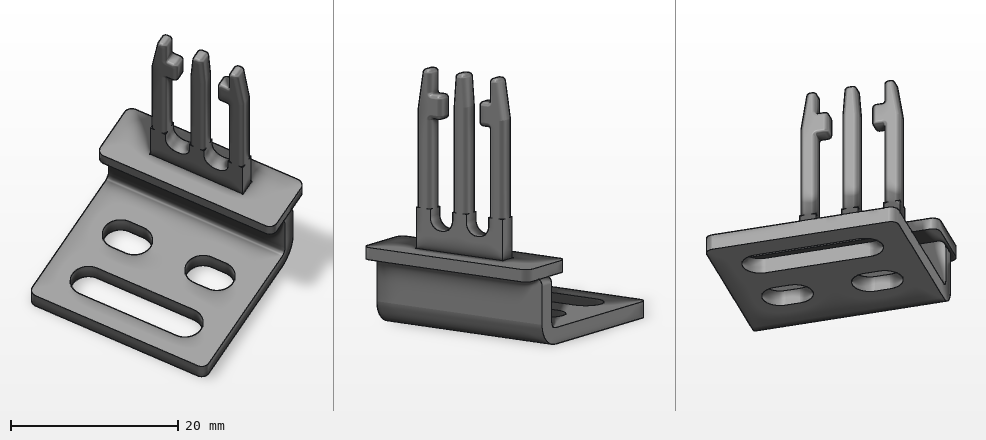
import cadquery as cq

WIDTH = 24.0
DEPTH = 25.0
HEIGHT = 32.0
CORNER_RADIUS = 1.0

SHEET = 2.0
BEND_INNER_RADIUS = 0.8
WALL_BACK = SHEET / 2
WALL_FRONT = -SHEET / 2

COLLAR_DEPTH = 8.0
COLLAR_THICKNESS = 1.5
COLLAR_BOTTOM = 8.5
TONGUE_CLEARANCE = 0.1
BASE_FRONT = COLLAR_DEPTH / 2 - DEPTH

SLOT_WIDTH = 4.4
SLOT_SPAN = 17.47
SHORT_SLOT_LENGTH = 6.25
LONG_SLOT_Y = BASE_FRONT + 5.0
SHORT_SLOT_Y = BASE_FRONT + 13.0

TONGUE_WIDTH = 12.5
FINGER_WIDTH = 2.0
GAP_BOTTOM = 12.5
GAP_CORNER_RADIUS = 1.5
FINGER_START = 15.0
FINGER_ROUNDING = 0.5
GAP_WIDTH = (TONGUE_WIDTH - 3 * FINGER_WIDTH) / 2
FINGER_PITCH = FINGER_WIDTH + GAP_WIDTH

MIDDLE_TAPER_START = 28.0
MIDDLE_TIP_WIDTH = 1.4

OUTER_TAPER_START = 27.0
OUTER_TIP_WIDTH = 1.2
HOOK_BOTTOM = 26.0
HOOK_TOP = 29.0
HOOK_REACH = 1.5
HOOK_ROOT_RADIUS = 0.2


def make_base_and_wall():
    """L-shaped sheet: the base, the bend and the wall up to the collar."""
    sheet = (
        cq.Workplane("YZ")
        .moveTo(BASE_FRONT, 0)
        .lineTo(WALL_BACK, 0)
        .lineTo(WALL_BACK, COLLAR_BOTTOM)
        .lineTo(WALL_FRONT, COLLAR_BOTTOM)
        .lineTo(WALL_FRONT, SHEET)
        .lineTo(BASE_FRONT, SHEET)
        .close()
        .extrude(WIDTH / 2, both=True)
    )
    outer_bend = cq.selectors.NearestToPointSelector((0, WALL_BACK, 0))
    inner_bend = cq.selectors.NearestToPointSelector((0, WALL_FRONT, SHEET))
    sheet = sheet.edges(outer_bend).fillet(BEND_INNER_RADIUS + SHEET)
    sheet = sheet.edges(inner_bend).fillet(BEND_INNER_RADIUS)
    sheet = sheet.faces("<Y").edges("|Z").fillet(CORNER_RADIUS)
    return sheet.faces(">Z").edges("|Y").fillet(CORNER_RADIUS)


def make_mounting_slots():
    """Cutters for one long slot and two short slots in line with its ends."""
    short_slot_x = (SLOT_SPAN - SHORT_SLOT_LENGTH) / 2
    long_slot = cq.Workplane("XY").center(0, LONG_SLOT_Y).slot2D(SLOT_SPAN, SLOT_WIDTH).extrude(SHEET)
    short_slots = (
        cq.Workplane("XY")
        .pushPoints([(-short_slot_x, SHORT_SLOT_Y), (short_slot_x, SHORT_SLOT_Y)])
        .slot2D(SHORT_SLOT_LENGTH, SLOT_WIDTH)
        .extrude(SHEET)
    )
    return long_slot.union(short_slots)


def make_tongue_root():
    """Square-edged lower part of the tongue, with the two rounded gap bottoms."""
    root_height = FINGER_START - COLLAR_BOTTOM
    root = (
        cq.Workplane("XY", origin=(0, 0, COLLAR_BOTTOM))
        .rect(TONGUE_WIDTH, SHEET)
        .extrude(root_height)
    )
    gaps = (
        cq.Workplane("XY", origin=(0, 0, GAP_BOTTOM))
        .pushPoints([(-FINGER_PITCH / 2, 0), (FINGER_PITCH / 2, 0)])
        .rect(GAP_WIDTH, SHEET)
        .extrude(FINGER_START - GAP_BOTTOM)
        .faces("<Z")
        .edges("|Y")
        .fillet(GAP_CORNER_RADIUS)
    )
    return root.cut(gaps)


def round_finger(finger, corners):
    """Round the front and back outlines above the foot, and the outline corners given as (x, z)."""
    edges = finger.faces("<Y or >Y").edges("not <Z").vals()
    for x, z in corners:
        corner_edge = cq.selectors.NearestToPointSelector((x, 0, z))
        edges += finger.edges("|Y").edges(corner_edge).vals()
    return finger.newObject(edges).fillet(FINGER_ROUNDING)


def make_middle_finger():
    half_foot = FINGER_WIDTH / 2
    half_tip = MIDDLE_TIP_WIDTH / 2
    outline = [
        (-half_foot, FINGER_START),
        (half_foot, FINGER_START),
        (half_foot, MIDDLE_TAPER_START),
        (half_tip, HEIGHT),
        (-half_tip, HEIGHT),
        (-half_foot, MIDDLE_TAPER_START),
    ]
    finger = cq.Workplane("XZ").polyline(outline).close().extrude(SHEET / 2, both=True)
    return round_finger(finger, [(-half_tip, HEIGHT), (half_tip, HEIGHT)])


def make_left_finger():
    """Outer finger on the -X side, tapered outside and hooked inside."""
    outer_x = -TONGUE_WIDTH / 2
    inner_x = outer_x + FINGER_WIDTH
    hook_x = inner_x + HOOK_REACH
    outline = [
        (outer_x, FINGER_START),
        (inner_x, FINGER_START),
        (inner_x, HOOK_BOTTOM),
        (hook_x, HOOK_BOTTOM),
        (hook_x, HOOK_TOP),
        (inner_x, HOOK_TOP),
        (inner_x, HEIGHT),
        (inner_x - OUTER_TIP_WIDTH, HEIGHT),
        (outer_x, OUTER_TAPER_START),
    ]
    finger = cq.Workplane("XZ").polyline(outline).close().extrude(SHEET / 2, both=True)
    for hook_z in (HOOK_BOTTOM, HOOK_TOP):
        hook_root = cq.selectors.NearestToPointSelector((inner_x, 0, hook_z))
        finger = finger.edges(hook_root).fillet(HOOK_ROOT_RADIUS)
    tip_corners = [(inner_x - OUTER_TIP_WIDTH, HEIGHT), (inner_x, HEIGHT)]
    hook_corners = [(hook_x, HOOK_BOTTOM), (hook_x, HOOK_TOP)]
    return round_finger(finger, tip_corners + hook_corners)


def make_bracket():
    left_finger = make_left_finger()
    bracket = make_base_and_wall().cut(make_mounting_slots()).union(make_tongue_root())
    for finger in (left_finger, make_middle_finger(), left_finger.mirror("YZ")):
        bracket = bracket.union(finger)
    return bracket


def make_collar():
    """Flat plate with rounded corners and a rectangular hole that clears the tongue on all sides."""
    collar = (
        cq.Workplane("XY", origin=(0, 0, COLLAR_BOTTOM))
        .rect(WIDTH, COLLAR_DEPTH)
        .extrude(COLLAR_THICKNESS)
        .edges("|Z")
        .fillet(CORNER_RADIUS)
    )
    hole_width = TONGUE_WIDTH + 2 * TONGUE_CLEARANCE
    hole_depth = SHEET + 2 * TONGUE_CLEARANCE
    return collar.faces(">Z").workplane().rect(hole_width, hole_depth).cutThruAll()


bracket = make_bracket()
collar = make_collar()

result = cq.Compound.makeCompound([bracket.val(), collar.val()])